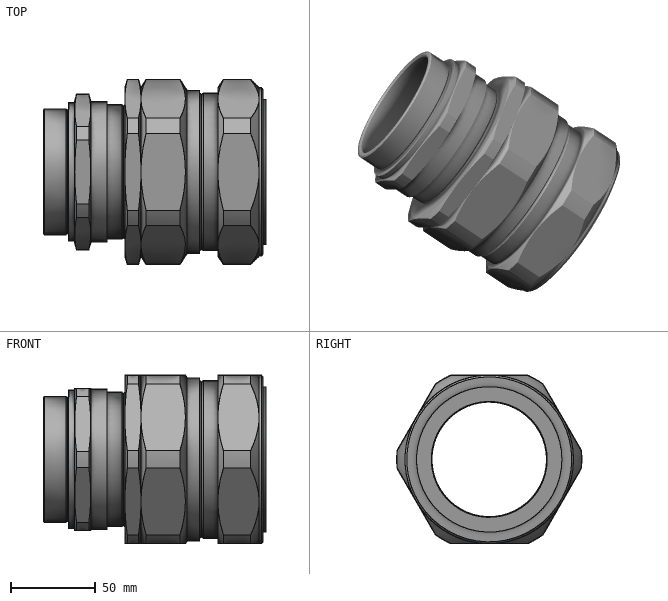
import cadquery as cq
import math


length = 132.3

large_flats = 100.0
large_corners = 110.0
small_flats = 84.4
small_corners = 92.5

thread_end = 13.4
flange_start = 15.1
small_nut_start = 18.4
small_nut_end = 28.3
collar_end = 37.8
sleeve_end = 46.6
lock_nut_start = 48.4
lock_nut_end = 58.0
body_nut_end = 85.3
ring_end = 92.7
rear_sleeve_start = 95.0
cap_nut_start = 103.6
cap_rim_start = 128.1
cap_rim_end = 130.5

thread_radius = 37.5
flange_radius = 41.1
collar_radius = 41.7
sleeve_radius = 40.0
ring_radius = 48.4
rear_sleeve_radius = 46.8
end_ring_radius = 43.1

entry_chamfer_length = 0.7
entry_chamfer_height = 0.9
undercut_depth = 0.9
cap_rim_chamfer = 1.0

small_nut_chamfer = 1.3
lock_nut_chamfer = 1.5
body_nut_front_chamfer = 3.0
body_nut_rear_chamfer = 4.2
cap_nut_front_chamfer = 3.3
cap_nut_rear_chamfer = 5.0

bore_radius = 34.0
bore_chamfer = 0.9
rear_bore_radius = 34.4


def turned(profile):
    """Revolve (x, radius) points, closed along the axis, around X."""
    outline = [(profile[0][0], 0), *profile, (profile[-1][0], 0)]
    return cq.Workplane("XY").polyline(outline).close().revolve(360, (0, 0, 0), (1, 0, 0))


def v_groove(start, end, radius):
    """Points of a V-shaped undercut in a turned part of the given radius."""
    return [(start, radius), ((start + end) / 2, radius - undercut_depth), (end, radius)]


def hex_nut(flats, corners, start, end, front, rear, front_radius, rear_radius):
    """Hexagon with flats facing +Z and -Z, its corners turned round and chamfered at both ends."""
    prism = (
        cq.Workplane("YZ", origin=(start, 0, 0))
        .polygon(6, flats / math.cos(math.pi / 6))
        .extrude(end - start)
    )
    envelope = turned([
        (start, front_radius),
        (start + front, corners / 2),
        (end - rear, corners / 2),
        (end, rear_radius),
    ])
    return prism.intersect(envelope)


core = turned([
    (0, thread_radius - entry_chamfer_height),
    (entry_chamfer_length, thread_radius),
    *v_groove(thread_end, flange_start, thread_radius),
    (flange_start, flange_radius),
    (small_nut_end, flange_radius),
    (small_nut_end, collar_radius),
    (collar_end, collar_radius),
    (collar_end, sleeve_radius),
    *v_groove(sleeve_end, lock_nut_start, sleeve_radius),
    (lock_nut_end, sleeve_radius),
    (lock_nut_end, ring_radius),
    (ring_end, ring_radius),
    *v_groove(ring_end, rear_sleeve_start, rear_sleeve_radius),
    (cap_rim_end, rear_sleeve_radius),
    (cap_rim_end, end_ring_radius),
    (length, end_ring_radius),
])

small_nut = hex_nut(
    small_flats, small_corners, small_nut_start, small_nut_end,
    small_nut_chamfer, small_nut_chamfer, flange_radius, collar_radius,
)

large_flat_radius = large_flats / 2
lock_nut = hex_nut(
    large_flats, large_corners, lock_nut_start, lock_nut_end,
    lock_nut_chamfer, lock_nut_chamfer, large_flat_radius, large_flat_radius,
)
body_nut = hex_nut(
    large_flats, large_corners, lock_nut_end, body_nut_end,
    body_nut_front_chamfer, body_nut_rear_chamfer, large_flat_radius, ring_radius,
)
cap_nut = hex_nut(
    large_flats, large_corners, cap_nut_start, cap_rim_start,
    cap_nut_front_chamfer, cap_nut_rear_chamfer, large_flat_radius, large_flat_radius,
)

cap_rim = turned([
    (cap_rim_start, large_flat_radius),
    (cap_rim_end - cap_rim_chamfer, large_flat_radius),
    (cap_rim_end, large_flat_radius - cap_rim_chamfer),
])

bore = turned([
    (0, bore_radius + bore_chamfer),
    (bore_chamfer, bore_radius),
    (collar_end, bore_radius),
    (collar_end, rear_bore_radius),
    (length, rear_bore_radius),
])

result = core
for section in (small_nut, lock_nut, body_nut, cap_nut, cap_rim):
    result = result.union(section)
result = result.cut(bore)